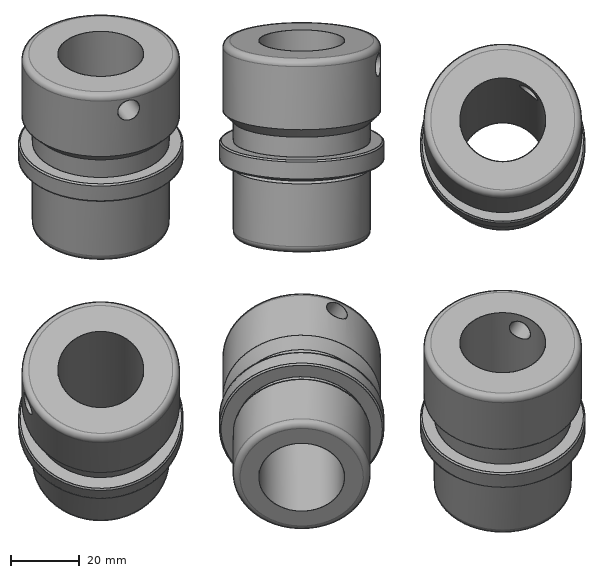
import cadquery as cq

collar_diameter = 48.0
head_diameter = 46.0
body_diameter = 40.0
groove_diameter = 38.65
bore_diameter = 25.0

total_height = 59.0
head_height = 24.0
neck_height = 6.0
collar_height = 6.0
groove_height = 1.35
cone_height = (head_diameter - body_diameter) / 2

end_fillet = 2.0
collar_chamfer = 0.5
groove_chamfer = (body_diameter - groove_diameter) / 2

cross_hole_diameter = 6.8
cross_hole_depth_from_top = 6.0

head_bottom = total_height - head_height
collar_top = head_bottom - neck_height
collar_bottom = collar_top - collar_height
lower_body_top = collar_bottom - groove_height


def cylinder(diameter, bottom, top):
    return cq.Workplane("XY").workplane(offset=bottom).circle(diameter / 2).extrude(top - bottom)


lower_body = cylinder(body_diameter, 0, lower_body_top)
lower_body = lower_body.faces("<Z").edges().fillet(end_fillet)
lower_body = lower_body.faces(">Z").edges().chamfer(groove_chamfer)

groove = cylinder(groove_diameter, lower_body_top, collar_bottom)
collar = cylinder(collar_diameter, collar_bottom, collar_top).edges().chamfer(collar_chamfer)
neck = cylinder(body_diameter, collar_top, head_bottom)

head = cylinder(head_diameter, head_bottom, total_height)
head = head.faces(">Z").edges().fillet(end_fillet)
head = head.faces("<Z").edges().chamfer(cone_height)

outside = lower_body.union(groove).union(collar).union(neck).union(head)

bore = cylinder(bore_diameter, 0, total_height)
cross_hole = (
    cq.Workplane("YZ")
    .center(0, total_height - cross_hole_depth_from_top)
    .circle(cross_hole_diameter / 2)
    .extrude(head_diameter)
)

result = outside.cut(bore).cut(cross_hole)